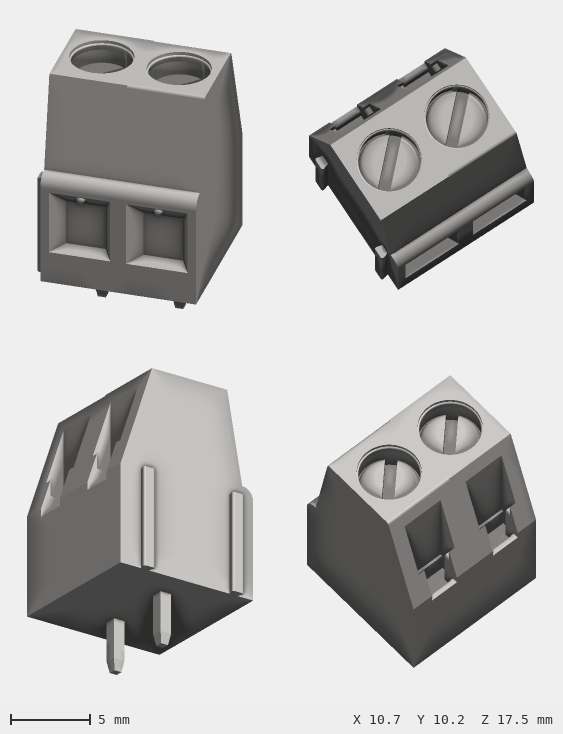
import cadquery as cq
import math


pole_count = 2
pitch = 5.08
housing_width = 10.2
housing_depth = 10.2
housing_height = 14.0
left = -housing_width / 2
front = -housing_depth / 2
back = housing_depth / 2
shoulder_height = 6.82
shoulder_radius = 0.84
top_front = front + 2.0
top_back = back - 2.43
top_edge_radius = 0.21

entry_width = 4.02
entry_inner_width = 2.59
entry_floor = 2.2
entry_top = 6.55
entry_inner_top = 5.27
entry_depth = 1.4
bump_radius = 0.28
bump_inset = 0.33
bump_height = 6.23

screw_y = -0.18
screw_hole_radius = 4.1 / 2
screw_radius = 1.96
screw_edge_radius = 0.25
screw_top = housing_height - 1.47
drive_slot_width = 0.79
drive_slot_depth = 0.88
drive_slot_angle = 45.0
lip_depth = 0.21
lip_radius = 0.1
undercut_end_depth = 0.68
key_radius = 0.14
key_protrusion = lip_radius
key_angle = 60.0

pocket_width = 3.0
pocket_end = 2.08
pocket_floor = 5.25
pocket_neck_width = 2.08
pocket_neck_length = 0.74
pocket_step_width = 0.18
pocket_step_height = 1.4
ledge_end = 1.19
ledge_height = 8.05
ledge_radius = 0.2
sill_length = 0.45
sill_height = 6.3
sill_middle_width = 1.63
sill_middle_radius = 0.23
sill_end_radius = 0.15

rib_reach = 0.52
rib_outer_width = 0.91
rib_neck_width = 0.61
rib_corner_radius = 0.12
rib_spacing = 6.82
front_rib_y = front + 1.5

pin_width = 0.8
pin_tip_width = 0.52
pin_length = 3.5
pin_taper_length = 0.77
pin_y = 0.09

pole_positions = [(pole - (pole_count - 1) / 2) * pitch for pole in range(pole_count)]


def box(x_min, x_max, y_min, y_max, z_min, z_max):
    return cq.Workplane("XY").box(
        x_max - x_min, y_max - y_min, z_max - z_min, centered=False
    ).translate((x_min, y_min, z_min))


def make_housing():
    arc_offset = shoulder_radius * (1 - math.sqrt(0.5))
    housing = (
        cq.Workplane("YZ", origin=(left, 0, 0))
        .moveTo(front, 0)
        .lineTo(front, shoulder_height)
        .threePointArc(
            (front + arc_offset, shoulder_height + shoulder_radius - arc_offset),
            (front + shoulder_radius, shoulder_height + shoulder_radius),
        )
        .lineTo(top_front, housing_height)
        .lineTo(top_back, housing_height)
        .lineTo(back, shoulder_height)
        .lineTo(back, 0)
        .close()
        .extrude(housing_width)
    )
    rounded = housing.edges("|X and >Z").fillet(top_edge_radius)
    left_half = box(left, 0, front, back, 0, housing_height)
    return rounded.union(housing.intersect(left_half))


def make_wire_entry(x):
    end = front + entry_depth
    side_shape = (
        cq.Workplane("YZ", origin=(x - entry_width / 2, 0, 0))
        .polyline([(front, entry_floor), (front, entry_top), (end, entry_inner_top), (end, entry_floor)])
        .close()
        .extrude(entry_width)
    )
    plan_shape = (
        cq.Workplane("XY")
        .polyline([
            (x - entry_width / 2, front),
            (x + entry_width / 2, front),
            (x + entry_inner_width / 2, end),
            (x - entry_inner_width / 2, end),
        ])
        .close()
        .extrude(housing_height)
    )
    bump = cq.Workplane("XY").sphere(bump_radius).translate((x, front + bump_inset, bump_height))
    return side_shape.intersect(plan_shape).cut(bump)


def make_screw_recess(x):
    lip_offset = lip_radius * (1 - math.sqrt(0.5))
    lip_top = housing_height - lip_depth
    lip_bottom = lip_top - lip_radius
    lip_inner_radius = screw_hole_radius - lip_radius
    edge_offset = screw_edge_radius * (1 - math.sqrt(0.5))
    edge_base = screw_top - screw_edge_radius
    recess = (
        cq.Workplane("XZ")
        .moveTo(0, housing_height)
        .lineTo(screw_hole_radius, housing_height)
        .lineTo(screw_hole_radius, lip_top)
        .threePointArc(
            (lip_inner_radius + lip_offset, lip_top - lip_offset),
            (lip_inner_radius, lip_bottom),
        )
        .lineTo(screw_hole_radius, housing_height - undercut_end_depth)
        .lineTo(screw_hole_radius, edge_base)
        .lineTo(screw_radius, edge_base)
        .threePointArc(
            (screw_radius - edge_offset, screw_top - edge_offset),
            (screw_radius - screw_edge_radius, screw_top),
        )
        .lineTo(0, screw_top)
        .close()
        .revolve(360, (0, 0, 0), (0, 1, 0))
    )
    slot_floor = screw_top - drive_slot_depth
    slot = (
        cq.Workplane("XY", origin=(0, 0, slot_floor))
        .rect(2 * screw_hole_radius, drive_slot_width)
        .extrude(drive_slot_depth)
        .rotate((0, 0, 0), (0, 0, 1), drive_slot_angle)
    )
    bore = cq.Workplane("XY", origin=(0, 0, slot_floor)).circle(screw_hole_radius).extrude(drive_slot_depth)
    key_distance = screw_hole_radius + key_radius - key_protrusion
    key = (
        cq.Workplane("XY", origin=(0, 0, edge_base))
        .center(
            key_distance * math.cos(math.radians(key_angle)),
            key_distance * math.sin(math.radians(key_angle)),
        )
        .circle(key_radius)
        .extrude(lip_bottom - edge_base)
    )
    return recess.union(slot.intersect(bore)).cut(key).translate((x, screw_y, 0))


def make_sill(x):
    def section(x_min, x_max, radius):
        block = box(x_min, x_max, back - sill_length, back, pocket_floor, sill_height)
        return block.edges(">Z and <Y").fillet(radius)

    half_neck = pocket_neck_width / 2
    half_middle = sill_middle_width / 2
    middle = section(x - half_middle, x + half_middle, sill_middle_radius)
    left_end = section(x - half_neck, x - half_middle, sill_end_radius)
    right_end = section(x + half_middle, x + half_neck, sill_end_radius)
    return middle.union(left_end).union(right_end)


def make_ledge(x, side):
    inner = x + side * pocket_neck_width / 2
    outer = x + side * pocket_width / 2
    ledge = box(
        min(inner, outer), max(inner, outer),
        back - ledge_end, back - pocket_neck_length,
        pocket_floor, ledge_height,
    )
    inner_edge = ">Z and <X" if side > 0 else ">Z and >X"
    return ledge.edges(inner_edge).fillet(ledge_radius)


def make_test_pocket(x):
    half_width = pocket_width / 2
    half_neck = pocket_neck_width / 2
    pocket = box(
        x - half_width, x + half_width, back - pocket_end, back - pocket_neck_length,
        pocket_floor, housing_height,
    )
    neck = box(
        x - half_neck, x + half_neck, back - pocket_neck_length, back,
        pocket_floor, housing_height,
    )
    step = box(
        x - half_width, x + half_width, back - pocket_end, back - pocket_end + pocket_step_width,
        pocket_floor, pocket_floor + pocket_step_height,
    )
    pocket = pocket.union(neck).cut(step)
    pocket = pocket.cut(make_sill(x))
    pocket = pocket.cut(make_ledge(x, -1)).cut(make_ledge(x, 1))
    return pocket


def make_rib(y):
    return (
        cq.Workplane("XY")
        .polyline([
            (left, y - rib_neck_width / 2),
            (left, y + rib_neck_width / 2),
            (left - rib_reach, y + rib_outer_width / 2),
            (left - rib_reach, y - rib_outer_width / 2),
        ])
        .close()
        .extrude(shoulder_height)
        .edges("|Z and <X")
        .fillet(rib_corner_radius)
    )


def make_pin(x):
    straight_length = pin_length - pin_taper_length
    shank = cq.Workplane("XY").rect(pin_width, pin_width).extrude(-straight_length)
    tip = (
        cq.Workplane("XY", origin=(0, 0, -straight_length))
        .rect(pin_width, pin_width)
        .workplane(offset=-pin_taper_length)
        .rect(pin_tip_width, pin_tip_width)
        .loft()
    )
    return shank.union(tip).translate((x, pin_y, 0))


result = make_housing()
for pole_x in pole_positions:
    result = result.cut(make_wire_entry(pole_x))
    result = result.cut(make_screw_recess(pole_x))
    result = result.cut(make_test_pocket(pole_x))
    result = result.union(make_pin(pole_x))
for rib_y in (front_rib_y, front_rib_y + rib_spacing):
    result = result.union(make_rib(rib_y))